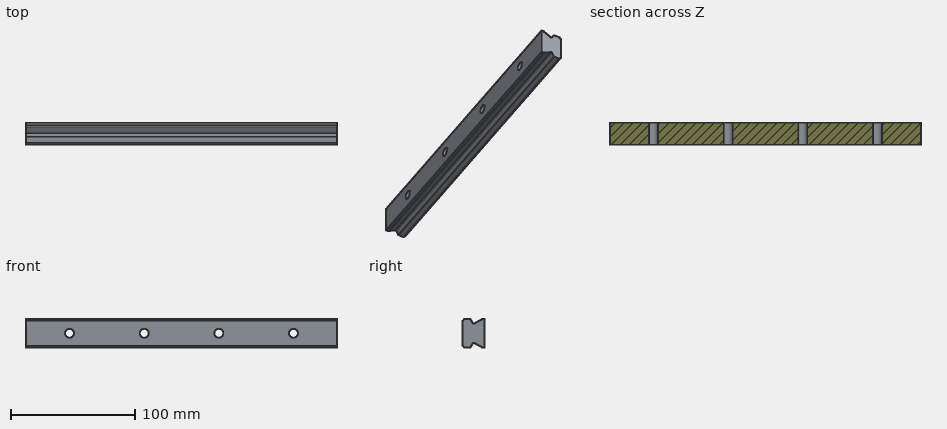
import cadquery as cq
import math

length = 250.0
depth = 18.0
height = 23.0

front_chamfer = 1.62
groove_bottom = 9.2
groove_depth = 3.8
groove_wall_angle = math.radians(60)
groove_root_radius = 1.0
lip_bevel_front = 14.2
lip_bevel_back = 15.8
lip_step = 0.38
lip_bevel_drop = 0.62

hole_diameter = 7.0
hole_count = 4
hole_pitch = 60.0


def make_upper_half():
    """Extrude the half of the rail section above the mid-height plane."""
    half_height = height / 2
    floor = half_height - groove_depth

    def root_point(angle):
        """Point on the groove root arc, which is level at the groove bottom."""
        y = groove_bottom - groove_root_radius * math.sin(angle)
        z = floor + groove_root_radius * (1 - math.cos(angle))
        return y, z

    root_end = root_point(groove_wall_angle)
    wall_top = root_end[0] - (half_height - root_end[1]) / math.tan(groove_wall_angle)
    return (
        cq.Workplane("YZ")
        .moveTo(0, 0)
        .lineTo(0, half_height - front_chamfer)
        .lineTo(front_chamfer, half_height)
        .lineTo(wall_top, half_height)
        .lineTo(*root_end)
        .threePointArc(root_point(groove_wall_angle / 2), (groove_bottom, floor))
        .lineTo(lip_bevel_front, half_height - lip_step - lip_bevel_drop)
        .lineTo(lip_bevel_back, half_height - lip_step)
        .lineTo(lip_bevel_back, half_height)
        .lineTo(depth, half_height)
        .lineTo(depth, 0)
        .close()
        .extrude(length)
    )


def make_holes():
    """Cylinders for the evenly spaced holes, centred on the rail length."""
    first_hole = (length - hole_pitch * (hole_count - 1)) / 2
    centres = [(first_hole + i * hole_pitch, 0) for i in range(hole_count)]
    return cq.Workplane("XZ").pushPoints(centres).circle(hole_diameter / 2).extrude(-depth)


upper_half = make_upper_half()
rail = upper_half.union(upper_half.mirror("XY")).clean()
result = rail.cut(make_holes())